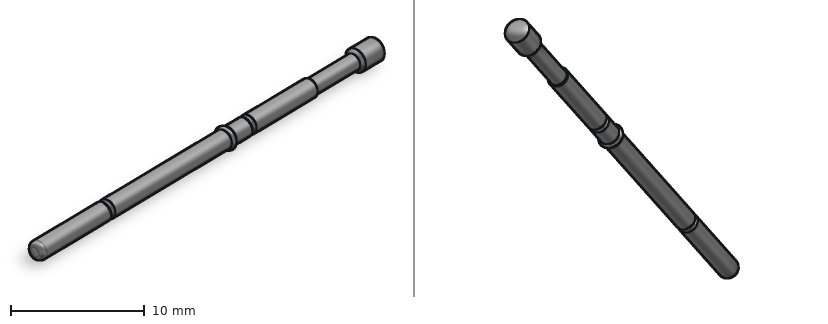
import cadquery as cq

length = 40
tail_end = -length / 2
tip_end = length / 2

barrel_radius = 0.82
barrel_length = 32
tail_rounding = 0.42

shaft_radius = 0.7
head_radius = 1.0
dome_height = 0.4
head_length = 2.6
head_cone_length = head_radius - shaft_radius

groove_radius = 0.25
groove_depth = 0.2
groove_positions = [tip_end - 15.35, tip_end - 31.85]
ring_section_radius = 0.3
ring_outer_radius = head_radius
ring_position = tip_end - 17.75


def make_barrel():
    """Cylindrical sleeve with a rounded tail end."""
    barrel = cq.Workplane("XZ", origin=(0, tail_end, 0)).circle(barrel_radius).extrude(-barrel_length)
    return barrel.faces("<Y").edges().fillet(tail_rounding)


def make_plunger():
    """Shaft and domed head, revolved about the probe axis."""
    barrel_mouth = tail_end + barrel_length
    head_back = tip_end - head_length
    dome_base = tip_end - dome_height
    dome_radius = (head_radius**2 + dome_height**2) / (2 * dome_height)
    dome_mid_radius = head_radius / 2
    dome_mid = tip_end - dome_radius + (dome_radius**2 - dome_mid_radius**2) ** 0.5
    return (
        cq.Workplane("XY")
        .moveTo(0, barrel_mouth)
        .lineTo(shaft_radius, barrel_mouth)
        .lineTo(shaft_radius, head_back - head_cone_length)
        .lineTo(head_radius, head_back)
        .lineTo(head_radius, dome_base)
        .threePointArc((dome_mid_radius, dome_mid), (0, tip_end))
        .close()
        .revolve(360, (0, 0, 0), (0, 1, 0))
    )


def make_torus(center_radius, section_radius, position):
    """Ring of round section around the probe axis."""
    return (
        cq.Workplane("XY")
        .center(center_radius, position)
        .circle(section_radius)
        .revolve(360, (-center_radius, 0, 0), (-center_radius, 1, 0))
    )


result = make_barrel().union(make_plunger())

result = result.union(
    make_torus(ring_outer_radius - ring_section_radius, ring_section_radius, ring_position)
)

for groove_position in groove_positions:
    groove_center_radius = barrel_radius - groove_depth + groove_radius
    result = result.cut(make_torus(groove_center_radius, groove_radius, groove_position))